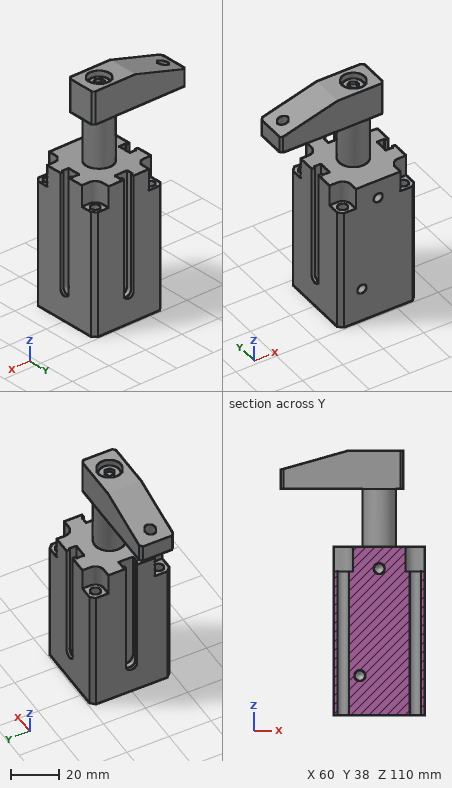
import cadquery as cq
import math

total_height = 110.0
total_length = 60.0
body_width = 38.0
arm_height = 16.0
rod_length = 24.0
body_height = total_height - arm_height - rod_length
face = body_width / 2

corner_chamfer = 2.0
bolt_spacing = 30.0
bolt_hole_diameter = 4.5
pocket_radius = 4.0
pocket_depth = 10.2

slot_opening = 5.2
slot_head_width = 6.7
slot_lip = 1.6
slot_depth = 5.1
slot_bottom = 12.1

port_diameter = 4.4
port_depth = 5.0
drill_tip_angle = 118.0
port_a_below_top = 9.1
port_b_height = 16.5
port_b_offset = 8.0
ports = [(0, body_height - port_a_below_top), (-port_b_offset, port_b_height)]

rod_diameter = 14.0

arm_width = 16.0
arm_reach = total_length - face
arm_heel = 10.0
arm_tip_height = 8.0
arm_slope_length = 28.0
arm_chamfer = 1.1
tip_hole_diameter = 5.0
tip_hole_inset = 6.0

counterbore_diameter = 11.0
screw_recess = 2.0
head_diameter = 10.0
head_height = 6.0
head_fillet = 1.3
hex_across_flats = 4.2
hex_depth = 1.5
shank_diameter = 6.0
thread_engagement = 12.0

arm_bottom = body_height + rod_length
head_top = total_height - screw_recess
head_seat = head_top - head_height
shank_bottom = arm_bottom - thread_engagement


def drill_tip_height(diameter):
    """Height of the cone that a drill leaves at the end of a blind hole."""
    return diameter / 2 / math.tan(math.radians(drill_tip_angle / 2))


def shank_space():
    """Space taken by the screw shank, from under the head down into the rod."""
    shank = cq.Workplane("XY").workplane(offset=shank_bottom)
    return shank.circle(shank_diameter / 2).extrude(head_seat - shank_bottom)


def drilled_port(x, z):
    """Blind hole into the -Y face with a conical drill tip."""
    radius = port_diameter / 2
    depth_at_tip = port_depth + drill_tip_height(port_diameter)
    profile = [(0, 0), (radius, 0), (radius, port_depth), (0, depth_at_tip)]
    hole = cq.Workplane("XY").polyline(profile).close().revolve(360, (0, 0), (0, 1))
    return hole.translate((x, -face, z))


def round_ended_groove(width, depth_from, depth_to):
    """Vertical groove in the +X face, open at the top, with a half-round lower end."""
    end_center = slot_bottom + slot_opening / 2
    groove = (
        cq.Workplane("YZ", origin=(face - depth_to, 0, 0))
        .moveTo(-width / 2, body_height)
        .lineTo(-width / 2, end_center)
        .threePointArc((0, end_center - width / 2), (width / 2, end_center))
        .lineTo(width / 2, body_height)
        .close()
    )
    return groove.extrude(depth_to - depth_from)


def t_slot():
    opening = round_ended_groove(slot_opening, 0, slot_depth)
    head = round_ended_groove(slot_head_width, slot_lip, slot_depth)
    return opening.union(head)


def corner_pocket():
    """Pocket for a bolt head in the +X +Y corner, rounded about the bolt axis."""
    bolt = bolt_spacing / 2
    inner = bolt - pocket_radius
    arc_middle = bolt - pocket_radius * math.sqrt(0.5)
    pocket = (
        cq.Workplane("XY", origin=(0, 0, body_height - pocket_depth))
        .moveTo(face, face)
        .lineTo(inner, face)
        .lineTo(inner, bolt)
        .threePointArc((arc_middle, arc_middle), (bolt, inner))
        .lineTo(face, inner)
        .close()
    )
    return pocket.extrude(pocket_depth)


def make_body():
    body = cq.Workplane("XY").rect(body_width, body_width).extrude(body_height)
    body = body.edges("|Z").chamfer(corner_chamfer)
    bolt_holes = (
        cq.Workplane("XY")
        .rect(bolt_spacing, bolt_spacing, forConstruction=True)
        .vertices()
        .circle(bolt_hole_diameter / 2)
        .extrude(body_height)
    )
    body = body.cut(bolt_holes)
    for angle in (0, 90, 180, 270):
        body = body.cut(corner_pocket().rotate((0, 0, 0), (0, 0, 1), angle))
    for angle in (0, 90, 180):
        body = body.cut(t_slot().rotate((0, 0, 0), (0, 0, 1), angle))
    for x, z in ports:
        body = body.cut(drilled_port(x, z))
    return body


def make_rod():
    rod = cq.Workplane("XY").workplane(offset=body_height)
    rod = rod.circle(rod_diameter / 2).extrude(rod_length)
    return rod.cut(shank_space())


def make_arm():
    side_outline = [
        (-arm_reach, arm_bottom),
        (arm_heel, arm_bottom),
        (arm_heel, total_height),
        (arm_slope_length - arm_reach, total_height),
        (-arm_reach, arm_bottom + arm_tip_height),
    ]
    arm = cq.Workplane("XZ").polyline(side_outline).close().extrude(arm_width / 2, both=True)
    arm = arm.edges("|Z").chamfer(arm_chamfer)
    tip_hole = (
        cq.Workplane("XY", origin=(tip_hole_inset - arm_reach, 0, arm_bottom))
        .circle(tip_hole_diameter / 2)
        .extrude(arm_height)
    )
    counterbore = (
        cq.Workplane("XY", origin=(0, 0, head_seat))
        .circle(counterbore_diameter / 2)
        .extrude(total_height - head_seat)
    )
    return arm.cut(tip_hole).cut(counterbore).cut(shank_space())


def hex_socket():
    """Hexagonal socket with corners towards +Y and -Y and a conical bottom."""
    corner_diameter = hex_across_flats / math.cos(math.radians(30))
    tip_height = drill_tip_height(corner_diameter)
    hexagon = (
        cq.Workplane("XY", origin=(0, 0, head_top - hex_depth - tip_height))
        .polygon(6, corner_diameter)
        .extrude(hex_depth + tip_height)
        .rotate((0, 0, 0), (0, 0, 1), 90)
    )
    radius = corner_diameter / 2
    profile = [(0, -tip_height), (radius, 0), (radius, hex_depth), (0, hex_depth)]
    drilled = cq.Workplane("XZ").polyline(profile).close().revolve(360, (0, 0), (0, 1))
    return hexagon.intersect(drilled.translate((0, 0, head_top - hex_depth)))


def make_screw():
    head = cq.Workplane("XY").workplane(offset=head_seat)
    head = head.circle(head_diameter / 2).extrude(head_height)
    head = head.faces(">Z").edges().fillet(head_fillet)
    return head.union(shank_space()).cut(hex_socket())


body = make_body()
rod = make_rod()
arm = make_arm()
screw = make_screw()

result = cq.Compound.makeCompound([body.val(), rod.val(), arm.val(), screw.val()])